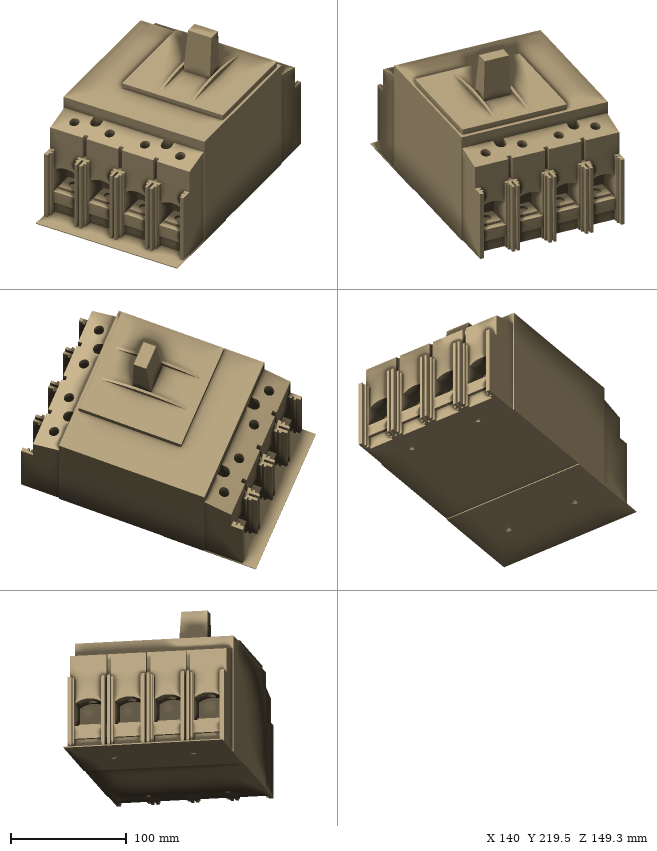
import cadquery as cq
POLES = 4
OVERALL_WIDTH = 140.0
OVERALL_LENGTH = 219.5
OVERALL_HEIGHT = 149.3
POLE_PITCH = OVERALL_WIDTH / POLES

PLATE_THICKNESS = 0.9
PLATE_BACK_Y = -29.6
PLATE_HOLE_DIAMETER = 5.5

BOX_HALF_LENGTH = 67.5
BOX_TOP_Z = 104.3
TERMINAL_WIDTH = 138.3
SHOULDER_Y = 92.2
SHOULDER_HIGH_Z = 93.3
SHOULDER_LOW_Z = 87.1

ESCUTCHEON_WIDTH = 100.0
ESCUTCHEON_LENGTH = 95.3
ESCUTCHEON_HEIGHT = 5.3
ESCUTCHEON_CENTRE_Y = 16.5
RIB_THICKNESS = 2.5
RIB_LENGTH = 78.5
RIB_HEIGHT = 4.2
RIB_OFFSET = 16.0
TOGGLE_BASE_WIDTH = 26.1
TOGGLE_TOP_WIDTH = 23.3
TOGGLE_BASE_FRONT_Y = 11.5
TOGGLE_TOP_FRONT_Y = 16.7
TOGGLE_BASE_BACK_Y = 28.8
TOGGLE_TOP_BACK_Y = 28.3

PANEL_WIDTH = 94.0
PANEL_THICKNESS = 2.5
PANEL_BACK_Y = -33.5

BARRIER_TOP_Z = 65.8
WALL_FRONT_Y = 95.3
FLANGE_START_Y = 96.8
FLANGE_END_Y = 99.0
BARRIER_END_Y = 104.0
SIDE_WALL_END_Y = 103.0
WALL_HALF_WIDTH = 5.7
FLANGE_HALF_WIDTH = 5.3
BARRIER_HALF_WIDTH = 3.5
SIDE_NECK_WIDTH = 2.6
SIDE_FLANGE_WIDTH = 5.0
SIDE_WALL_WIDTH = 3.5
SLOT_WIDTH = 2.2
SLOT_INNER_Y = 95.0
NOTCH_WIDTH = 4.0
NOTCH_INNER_Y = 88.5

CHAMBER_BACK_Y = 72.5
CHAMBER_SIDE_Z = 45.0
CHAMBER_CROWN_Z = 48.7
BAR_TOP_Z = 24.0
BAR_BOTTOM_Z = 12.5
PAD_WIDTH = 19.5
PAD_TOP_Z = 26.3
PAD_FRONT_Y = 89.5
PAD_HOLE_Y = 80.3
PAD_HOLE_DIAMETER = 8.5
ACCESS_HOLE_Y = 79.0
ACCESS_HOLE_DIAMETER = 9.0

MOUNT_Y = 72.2
MOUNT_POCKET_WIDTH = 10.0
MOUNT_POCKET_FLOOR_Z = 65.8
MOUNT_HOLE_DIAMETER = 4.5

PLATE_FRONT_Y = BARRIER_END_Y - OVERALL_LENGTH
ESCUTCHEON_TOP_Z = BOX_TOP_Z + ESCUTCHEON_HEIGHT
OPERATOR_X = POLE_PITCH / 2
CHAMBER_WIDTH = POLE_PITCH - 2 * WALL_HALF_WIDTH
POLE_XS = [(i - (POLES - 1) / 2) * POLE_PITCH for i in range(POLES)]
BARRIER_XS = [(i - POLES / 2) * POLE_PITCH for i in range(1, POLES)]
MOUNT_XS = [-POLE_PITCH, POLE_PITCH]


def block(x0, x1, y0, y1, z0, z1):
    """Box between two opposite corners."""
    return cq.Workplane("XY").box(x1 - x0, y1 - y0, z1 - z0, centered=False).translate((x0, y0, z0))


def centred_block(x, width, y0, y1, z0, z1):
    """Box with its width centred on x."""
    return block(x - width / 2, x + width / 2, y0, y1, z0, z1)


def drill(x, y, diameter, z0, z1):
    """Vertical round cutter."""
    return cq.Workplane("XY", origin=(x, y, z0)).circle(diameter / 2).extrude(z1 - z0)


def shoulder():
    """Solid behind the terminals with a top that slopes down and outward."""
    side = [
        (0, PLATE_THICKNESS),
        (SHOULDER_Y, PLATE_THICKNESS),
        (SHOULDER_Y, SHOULDER_LOW_Z),
        (BOX_HALF_LENGTH, SHOULDER_HIGH_Z),
        (0, SHOULDER_HIGH_Z),
    ]
    return cq.Workplane("YZ").polyline(side).close().extrude(TERMINAL_WIDTH / 2, both=True)


def phase_barrier(x):
    """Split barrier with a guide flange on each side."""
    def layer(half_width, y0, y1):
        return centred_block(x, 2 * half_width, y0, y1, PLATE_THICKNESS, BARRIER_TOP_Z)

    barrier = layer(BARRIER_HALF_WIDTH, SHOULDER_Y, BARRIER_END_Y)
    barrier = barrier.union(layer(FLANGE_HALF_WIDTH, FLANGE_START_Y, FLANGE_END_Y))
    return barrier.cut(layer(SLOT_WIDTH / 2, SLOT_INNER_Y, BARRIER_END_Y))


def side_wall():
    """Outer wall at the +X side with a guide flange on its inner face."""
    outer_x = TERMINAL_WIDTH / 2

    def layer(width, y0, y1):
        return block(outer_x - width, outer_x, y0, y1, PLATE_THICKNESS, BARRIER_TOP_Z)

    wall = layer(SIDE_NECK_WIDTH, SHOULDER_Y, FLANGE_START_Y)
    wall = wall.union(layer(SIDE_FLANGE_WIDTH, FLANGE_START_Y, FLANGE_END_Y))
    return wall.union(layer(SIDE_WALL_WIDTH, FLANGE_END_Y, SIDE_WALL_END_Y))


def chamber(x):
    """Arched terminal chamber above the bar, and the recess below the bar."""
    half = CHAMBER_WIDTH / 2
    arch = (
        cq.Workplane("XZ", origin=(x, CHAMBER_BACK_Y, 0))
        .moveTo(-half, BAR_TOP_Z)
        .lineTo(half, BAR_TOP_Z)
        .lineTo(half, CHAMBER_SIDE_Z)
        .threePointArc((0, CHAMBER_CROWN_Z), (-half, CHAMBER_SIDE_Z))
        .close()
        .extrude(CHAMBER_BACK_Y - SHOULDER_Y)
    )
    open_front = centred_block(x, CHAMBER_WIDTH, SHOULDER_Y, WALL_FRONT_Y, BAR_TOP_Z, BARRIER_TOP_Z)
    under_bar = centred_block(x, CHAMBER_WIDTH, SHOULDER_Y, WALL_FRONT_Y, PLATE_THICKNESS, BAR_BOTTOM_Z)
    return arch.union(open_front).union(under_bar)


def terminal_pad(x):
    """Raised contact pad with its screw hole."""
    pad = centred_block(x, PAD_WIDTH, CHAMBER_BACK_Y, PAD_FRONT_Y, BAR_TOP_Z, PAD_TOP_Z)
    return pad.cut(drill(x, PAD_HOLE_Y, PAD_HOLE_DIAMETER, BAR_TOP_Z, PAD_TOP_Z))


def mounting_pocket(x):
    """Round-ended pocket beside the box, with the through hole for the mounting screw."""
    end = drill(x, MOUNT_Y, MOUNT_POCKET_WIDTH, MOUNT_POCKET_FLOOR_Z, SHOULDER_HIGH_Z)
    throat = centred_block(
        x, MOUNT_POCKET_WIDTH, BOX_HALF_LENGTH, MOUNT_Y, MOUNT_POCKET_FLOOR_Z, SHOULDER_HIGH_Z
    )
    hole = drill(x, MOUNT_Y, MOUNT_HOLE_DIAMETER, 0, SHOULDER_HIGH_Z)
    return end.union(throat).union(hole)


def terminal_end():
    front_wall = centred_block(
        0, TERMINAL_WIDTH, SHOULDER_Y, WALL_FRONT_Y, PLATE_THICKNESS, BARRIER_TOP_Z
    )
    end = shoulder().union(front_wall)
    for x in BARRIER_XS:
        end = end.cut(centred_block(x, SLOT_WIDTH, SLOT_INNER_Y, WALL_FRONT_Y, PLATE_THICKNESS, BARRIER_TOP_Z))
        end = end.cut(centred_block(x, NOTCH_WIDTH, NOTCH_INNER_Y, SHOULDER_Y, BARRIER_TOP_Z, SHOULDER_HIGH_Z))
        end = end.union(phase_barrier(x))
        end = end.union(centred_block(x, SLOT_WIDTH, SHOULDER_Y, WALL_FRONT_Y, BAR_BOTTOM_Z, BAR_TOP_Z))
    wall = side_wall()
    end = end.union(wall).union(wall.mirror("YZ"))
    for x in POLE_XS:
        end = end.cut(chamber(x)).union(terminal_pad(x))
        end = end.cut(drill(x, ACCESS_HOLE_Y, ACCESS_HOLE_DIAMETER, CHAMBER_SIDE_Z, SHOULDER_HIGH_Z))
    for x in MOUNT_XS:
        end = end.cut(mounting_pocket(x))
    return end


def guard_rib(x):
    """Thin rib whose top edge is a shallow arc along Y."""
    start = (ESCUTCHEON_CENTRE_Y - RIB_LENGTH / 2, ESCUTCHEON_TOP_Z)
    crest = (ESCUTCHEON_CENTRE_Y, ESCUTCHEON_TOP_Z + RIB_HEIGHT)
    finish = (ESCUTCHEON_CENTRE_Y + RIB_LENGTH / 2, ESCUTCHEON_TOP_Z)
    profile = cq.Workplane("YZ", origin=(x, 0, 0)).moveTo(*start).threePointArc(crest, finish).close()
    return profile.extrude(RIB_THICKNESS / 2, both=True)


def cover_panel():
    return centred_block(
        OPERATOR_X, PANEL_WIDTH, -BOX_HALF_LENGTH, PANEL_BACK_Y, BOX_TOP_Z - PANEL_THICKNESS, BOX_TOP_Z
    )


def build_housing():
    body = centred_block(
        0, OVERALL_WIDTH, -BOX_HALF_LENGTH, BOX_HALF_LENGTH, PLATE_THICKNESS, BOX_TOP_Z
    )
    end = terminal_end()
    body = body.union(end).union(end.mirror("XZ"))
    escutcheon = centred_block(
        OPERATOR_X,
        ESCUTCHEON_WIDTH,
        ESCUTCHEON_CENTRE_Y - ESCUTCHEON_LENGTH / 2,
        ESCUTCHEON_CENTRE_Y + ESCUTCHEON_LENGTH / 2,
        BOX_TOP_Z,
        ESCUTCHEON_TOP_Z,
    )
    body = body.union(escutcheon)
    for side in (-1, 1):
        body = body.union(guard_rib(OPERATOR_X + side * RIB_OFFSET))
    return body.cut(cover_panel())


def build_toggle():
    """Handle tapering upward, its -Y face leaning back the most."""
    base_depth = TOGGLE_BASE_BACK_Y - TOGGLE_BASE_FRONT_Y
    top_depth = TOGGLE_TOP_BACK_Y - TOGGLE_TOP_FRONT_Y
    base_y = (TOGGLE_BASE_BACK_Y + TOGGLE_BASE_FRONT_Y) / 2
    top_y = (TOGGLE_TOP_BACK_Y + TOGGLE_TOP_FRONT_Y) / 2
    return (
        cq.Workplane("XY", origin=(OPERATOR_X, base_y, ESCUTCHEON_TOP_Z))
        .rect(TOGGLE_BASE_WIDTH, base_depth)
        .workplane(offset=OVERALL_HEIGHT - ESCUTCHEON_TOP_Z)
        .center(0, top_y - base_y)
        .rect(TOGGLE_TOP_WIDTH, top_depth)
        .loft(ruled=True)
    )


def build_insulating_plate():
    plate = centred_block(0, OVERALL_WIDTH, PLATE_FRONT_Y, PLATE_BACK_Y, 0, PLATE_THICKNESS)
    for x in MOUNT_XS:
        plate = plate.cut(drill(x, -MOUNT_Y, PLATE_HOLE_DIAMETER, 0, PLATE_THICKNESS))
    return plate


housing = build_housing().solids().val()
panel = cover_panel().solids().val()
toggle = build_toggle().solids().val()
insulating_plate = build_insulating_plate().solids().val()

result = cq.Compound.makeCompound([housing, panel, toggle, insulating_plate])